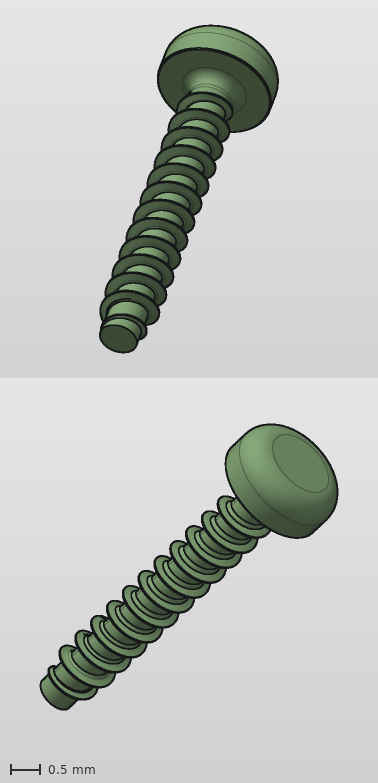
import cadquery as cq
import math

TOTAL_LENGTH = 6.8

HEAD_RADIUS = 1.0
HEAD_HEIGHT = 0.8
HEAD_CROWN_RADIUS = HEAD_HEIGHT / 2
SEAT_EDGE_CHAMFER = 0.02

SHANK_LENGTH = TOTAL_LENGTH - HEAD_HEIGHT
NECK_RADIUS = 0.37
NECK_FILLET = 0.2
NECK_END_DEPTH = 0.265
NECK_TAPER_END_DEPTH = 0.4
CORE_RADIUS = 0.325

CREST_RADIUS = 0.5
CREST_HALF_WIDTH = 0.015
FLANK_FOOT_RADIUS = 0.37
FLANK_FOOT_HALF_WIDTH = 0.055
HEAD_SIDE_ROOT_WIDTH = 0.26
TIP_SIDE_ROOT_WIDTH = 0.095
BURIED_RADIUS = 0.27
THREAD_START_DEPTH = 0.17
THREAD_TURNS = 13.25
PITCH = (SHANK_LENGTH - THREAD_START_DEPTH) / THREAD_TURNS
THREAD_START_ANGLE = math.pi
START_CREST_RADIUS = 0.395
END_CREST_RADIUS = 0.305
RUN_IN_LENGTH = 1.25 * PITCH
RUN_OUT_LENGTH = 1.5 * PITCH
STATIONS_PER_TURN = 16


def make_body():
    """Head, neck and core as one turned profile."""
    return (
        cq.Workplane("XY")
        .moveTo(0, HEAD_HEIGHT)
        .lineTo(HEAD_RADIUS - HEAD_CROWN_RADIUS, HEAD_HEIGHT)
        .radiusArc((HEAD_RADIUS, HEAD_HEIGHT - HEAD_CROWN_RADIUS), HEAD_CROWN_RADIUS)
        .lineTo(HEAD_RADIUS, SEAT_EDGE_CHAMFER)
        .lineTo(HEAD_RADIUS - SEAT_EDGE_CHAMFER, 0)
        .lineTo(NECK_RADIUS + NECK_FILLET, 0)
        .radiusArc((NECK_RADIUS, -NECK_FILLET), -NECK_FILLET)
        .lineTo(NECK_RADIUS, -NECK_END_DEPTH)
        .lineTo(CORE_RADIUS, -NECK_TAPER_END_DEPTH)
        .lineTo(CORE_RADIUS, -SHANK_LENGTH)
        .lineTo(0, -SHANK_LENGTH)
        .close()
        .revolve(360, (0, 0, 0), (0, 1, 0))
    )


def crest_radius_at(depth):
    """Crest radius along the shank, with the run-in and the run-out."""
    run_in = (depth - THREAD_START_DEPTH) / RUN_IN_LENGTH
    rising = START_CREST_RADIUS + (CREST_RADIUS - START_CREST_RADIUS) * run_in
    run_out = (SHANK_LENGTH - depth) / RUN_OUT_LENGTH
    sinking = END_CREST_RADIUS + (CREST_RADIUS - END_CREST_RADIUS) * run_out
    return min(CREST_RADIUS, rising, sinking)


def thread_section(depth):
    """Closed thread outline at one depth, as (radius, offset along the axis) pairs."""
    height_share = (crest_radius_at(depth) - BURIED_RADIUS) / (CREST_RADIUS - BURIED_RADIUS)
    foot_radius = BURIED_RADIUS + (FLANK_FOOT_RADIUS - BURIED_RADIUS) * height_share
    return [
        (BURIED_RADIUS, HEAD_SIDE_ROOT_WIDTH),
        (foot_radius, FLANK_FOOT_HALF_WIDTH),
        (crest_radius_at(depth), CREST_HALF_WIDTH),
        (crest_radius_at(depth), -CREST_HALF_WIDTH),
        (foot_radius, -FLANK_FOOT_HALF_WIDTH),
        (BURIED_RADIUS, -TIP_SIDE_ROOT_WIDTH),
    ]


def thread_point(depth, radius, offset):
    """Point on the helix turn that belongs to the given depth."""
    angle = THREAD_START_ANGLE + 2 * math.pi * (depth - THREAD_START_DEPTH) / PITCH
    return cq.Vector(radius * math.cos(angle), offset - depth, radius * math.sin(angle))


def make_thread():
    """Thread ridge bounded by ruled strips between neighbouring helical edges."""
    length = SHANK_LENGTH - THREAD_START_DEPTH
    count = math.ceil(THREAD_TURNS * STATIONS_PER_TURN)
    depths = [THREAD_START_DEPTH + length * i / count for i in range(count + 1)]
    sections = [
        [thread_point(depth, radius, offset) for radius, offset in thread_section(depth)]
        for depth in depths
    ]
    edges = [cq.Edge.makeSpline(list(track)) for track in zip(*sections)]
    neighbours = zip(edges, edges[1:] + edges[:1])
    strips = [cq.Face.makeRuledSurface(first, second) for first, second in neighbours]
    caps = []
    for section in (sections[0], sections[-1]):
        caps.append(cq.Face.makeFromWires(cq.Wire.makePolygon(section, close=True)))
    ridge = cq.Solid.makeSolid(cq.Shell.makeShell(strips + caps))
    return cq.Workplane(obj=ridge)


def make_tip_trim():
    """Block beyond the tip face that cuts the last of the thread flush."""
    side = 2 * CREST_RADIUS
    return cq.Workplane("XZ", origin=(0, -SHANK_LENGTH, 0)).rect(side, side).extrude(PITCH)


result = make_body().union(make_thread()).cut(make_tip_trim())